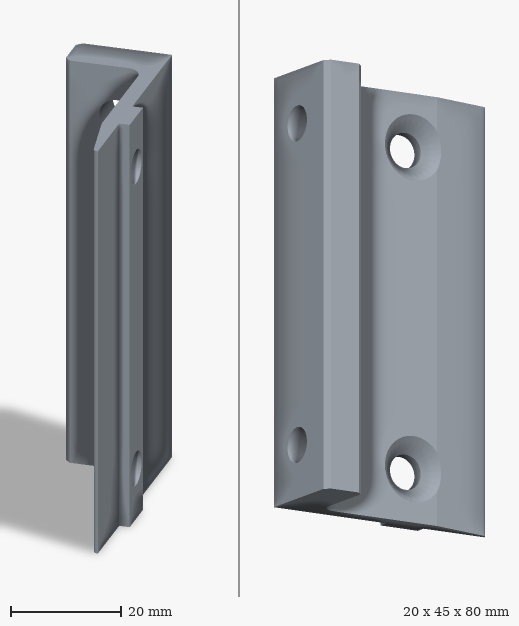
import cadquery as cq
import math

height = 80.0
depth = 45.0
width = 20.0

key_projection = 2.0
back_x = width - key_projection
wall_thickness = 3.0
wall_x = back_x - wall_thickness
flange_thickness = 8.0
flange_y = depth - flange_thickness
edge_chamfer = 1.0
inner_radius = 3.0

key_width = 8.0
key_center_y = 17.0

taper_length = 12.0
tip_radius = 1.0

hole_end_distance = 10.0
flange_hole_diameter = 6.6
wall_hole_diameter = 6.6
countersink_diameter = 12.3
countersink_angle = 90.0
hole_heights = (hole_end_distance, height - hole_end_distance)


def tip_point(angle):
    """Point on the tip round, at an angle from its center on the back face."""
    return (back_x + tip_radius * math.cos(angle), tip_radius + tip_radius * math.sin(angle))


def make_section():
    """Angle section with the tapered, rounded tip, extruded along Z."""
    rise = taper_length - tip_radius
    start_distance = math.hypot(wall_thickness, rise)
    start_direction = math.atan2(rise, -wall_thickness)
    tangent_angle = start_direction + math.acos(tip_radius / start_distance)
    bottom_angle = 1.5 * math.pi
    middle_angle = (tangent_angle + bottom_angle) / 2
    return (
        cq.Workplane("XY")
        .moveTo(*tip_point(bottom_angle))
        .lineTo(back_x, depth)
        .lineTo(edge_chamfer, depth)
        .lineTo(0, depth - edge_chamfer)
        .lineTo(0, flange_y + edge_chamfer)
        .lineTo(edge_chamfer, flange_y)
        .lineTo(wall_x - inner_radius, flange_y)
        .radiusArc((wall_x, flange_y - inner_radius), inner_radius)
        .lineTo(wall_x, taper_length)
        .lineTo(*tip_point(tangent_angle))
        .threePointArc(tip_point(middle_angle), tip_point(bottom_angle))
        .close()
        .extrude(height)
    )


def make_key():
    """Full-height rectangular key, rooted in the wall."""
    return (
        cq.Workplane("XY")
        .box(width - wall_x, key_width, height, centered=(False, True, False))
        .translate((wall_x, key_center_y, 0))
    )


def make_flange_hole(z):
    """Plain hole through the flange along Y, clearing the inner fillet."""
    start = cq.Vector(width / 2, flange_y - inner_radius, z)
    length = flange_thickness + inner_radius
    return cq.Solid.makeCylinder(flange_hole_diameter / 2, length, start, cq.Vector(0, 1, 0))


def make_wall_hole(z):
    """Countersunk hole through the wall and key along X."""
    start = cq.Vector(wall_x, key_center_y, z)
    direction = cq.Vector(1, 0, 0)
    hole_radius = wall_hole_diameter / 2
    sink_radius = countersink_diameter / 2
    sink_depth = (sink_radius - hole_radius) / math.tan(math.radians(countersink_angle / 2))
    hole = cq.Solid.makeCylinder(hole_radius, width - wall_x, start, direction)
    sink = cq.Solid.makeCone(sink_radius, hole_radius, sink_depth, start, direction)
    return hole.fuse(sink)


result = make_section().union(make_key())
for hole_z in hole_heights:
    result = result.cut(make_flange_hole(hole_z))
    result = result.cut(make_wall_hole(hole_z))